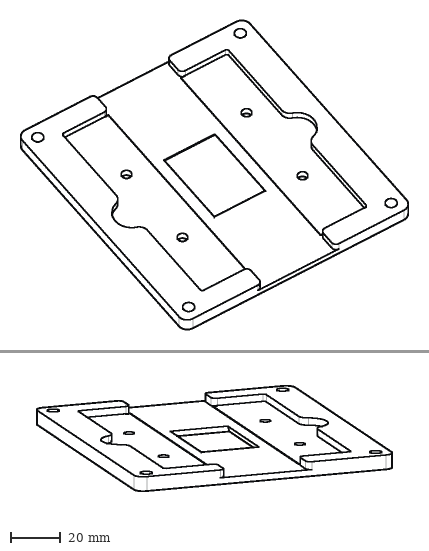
import cadquery as cq

length = 120.0
width = 110.0
thickness = 6.0
corner_radius = 4.0

channel_depth = 3.2
pocket_depth = 3.0
channel_width = 35.0
pocket_length = 100.1
pocket_span = 80.0
pocket_reach = pocket_span / 2
pocket_corner_radius = 1.0
lip_corner_radius = 2.0

notch_radius = 7.9
notch_blend_radius = 4.0

window_length = 36.0
window_width = 24.5
window_flare_x = 1.5
window_flare_y = 1.3
mount_hole_diameter = 4.8
mount_hole_x = 54.0
mount_hole_y = 49.0
pocket_hole_diameter = 4.2
pocket_hole_x = 20.0
pocket_hole_y = 29.0


def upright_box(size_x, size_y, bottom, top):
    """Box centred on the Z axis between two heights."""
    return cq.Workplane("XY").workplane(offset=bottom).rect(size_x, size_y).extrude(top - bottom)


def round_upright_edges(body, radius, points):
    """Round the vertical edges that stand at the given plan points."""
    reach = 0.1
    for x, y in points:
        corner = cq.selectors.BoxSelector(
            (x - reach, y - reach, 0), (x + reach, y + reach, thickness)
        )
        body = body.edges("|Z").edges(corner).fillet(radius)
    return body


def mirrored_points(x, y):
    """The four points at plus and minus x and y."""
    return [(sx * x, sy * y) for sx in (-1, 1) for sy in (-1, 1)]


def pocket_cutter():
    """Both pockets as one block, with a blended notch at each end."""
    block = upright_box(pocket_length, pocket_span, 0, thickness)
    block = block.edges("|Z").fillet(pocket_corner_radius)
    notches = (
        cq.Workplane("XY")
        .pushPoints([(0, pocket_reach), (0, -pocket_reach)])
        .circle(notch_radius)
        .extrude(thickness)
    )
    block = block.union(notches)
    return round_upright_edges(block, notch_blend_radius, mirrored_points(notch_radius, pocket_reach))


floor = thickness - channel_depth
rim = upright_box(length, width, floor, thickness).edges("|Z").fillet(corner_radius)
rim = rim.cut(upright_box(length, channel_width, floor, thickness)).cut(pocket_cutter())
for lip_x in (length / 2, pocket_length / 2):
    rim = round_upright_edges(rim, lip_corner_radius, mirrored_points(lip_x, channel_width / 2))

base = upright_box(length, width, 0, floor).edges("|Z").fillet(corner_radius)
pocket_floor = (
    upright_box(pocket_length, width - 2 * corner_radius, floor, thickness - pocket_depth)
    .cut(upright_box(length, channel_width, floor, thickness))
)
result = base.union(pocket_floor).union(rim)

window = (
    cq.Workplane("XY")
    .rect(window_length + 2 * window_flare_x, window_width + 2 * window_flare_y)
    .workplane(offset=floor)
    .rect(window_length, window_width)
    .loft(ruled=True)
)
result = result.cut(window)
for diameter, x, y in (
    (mount_hole_diameter, mount_hole_x, mount_hole_y),
    (pocket_hole_diameter, pocket_hole_x, pocket_hole_y),
):
    holes = cq.Workplane("XY").pushPoints(mirrored_points(x, y)).circle(diameter / 2)
    result = result.cut(holes.extrude(thickness))